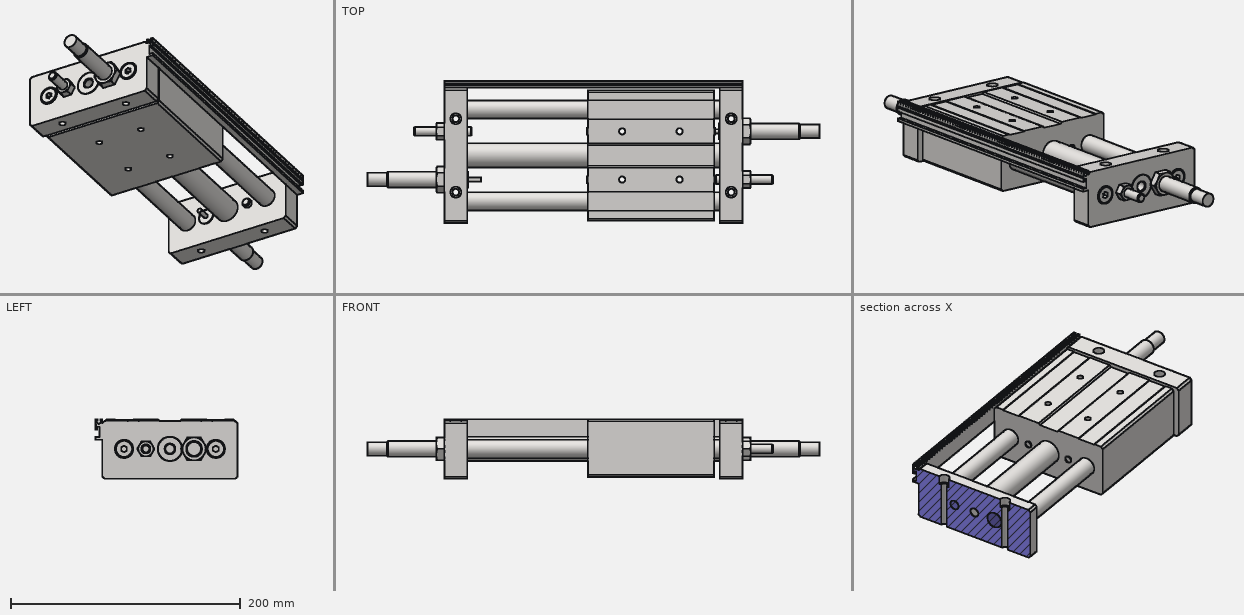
import cadquery as cq
import math

FRAME_LENGTH = 260.0
PLATE_THICKNESS = 20.0
PLATE_WIDTH = 118.0
PLATE_HEIGHT = 50.5
PLATE_CHAMFER = 2.0
AXIS_HEIGHT = 26.1
PLATE_OUTER_X = FRAME_LENGTH / 2
PLATE_INNER_X = PLATE_OUTER_X - PLATE_THICKNESS

CENTRE_ROD_DIAMETER = 21.4
GUIDE_ROD_DIAMETER = 16.0
GUIDE_ROD_Y = 40.0
CENTRE_ROD_CHAMFER = 0.3
GUIDE_ROD_CHAMFER = 1.0
GUIDE_SOCKET_ACROSS_FLATS = 5.0
GUIDE_SOCKET_DEPTH = 5.0
PORT_MOUTH_DIAMETER = 9.5
PORT_DIAMETER = 8.0
PORT_DEPTH = 10.0

MOUNT_HOLE_Y = 32.0
MOUNT_HOLE_DIAMETER = 5.7
MOUNT_BORE_DIAMETER = 9.5
MOUNT_BORE_DEPTH = 8.0

RAIL_WIDTH = 6.0
RAIL_TOP = 52.0
RAIL_BOTTOM = 34.0
RAIL_WEB = 2.5
RAIL_FLANGE = 2.5
TOP_SLOT_WALL = 1.0
TOP_SLOT_LIP = 1.2
TOP_SLOT_OUTER_LIP_WIDTH = 2.2
TOP_SLOT_INNER_LIP_WIDTH = 1.8
TOP_SLOT_SHOULDER_DEPTH = 2.5
TOP_SLOT_DEPTH = 4.2
SIDE_NOTCH_DEPTH = 0.8
SIDE_SLOT_ROOF_DEPTH = 6.8
SIDE_SLOT_LIP_HEIGHT = 2.4
SIDE_SLOT_LIP_WIDTH = 1.8

TABLE_LENGTH = 110.0
TABLE_CENTRE_X = 50.0
TABLE_WIDTH = 114.0
TABLE_BOTTOM = 1.5
TABLE_TOP = 52.0
TABLE_CHAMFER = 2.0
CENTRE_GROOVE_WIDTH = 21.0
CENTRE_GROOVE_DEPTH = 1.5
SIDE_GROOVE_INNER_Y = 31.5
SIDE_GROOVE_OUTER_Y = 48.0
SIDE_GROOVE_DEPTH = 0.5
TABLE_HOLE_DIAMETER = 5.2
TABLE_HOLE_SPACING = 50.0
PAD_DIAMETER = 6.0
PAD_HEIGHT = 1.0

STOP_Y = 21.0
PAD_FACE_X = TABLE_CENTRE_X + TABLE_LENGTH / 2 + PAD_HEIGHT
SHOCK_DIAMETER = 14.0
SHOCK_END_X = 197.0
SHOCK_STEP_X = 180.0
SHOCK_END_DIAMETER = 12.0
SHOCK_CHAMFER = 1.0
SHOCK_INNER_X = PLATE_INNER_X - 1.0
PISTON_DIAMETER = 4.0
LEFT_PISTON_TIP_X = 98.0
SHOCK_NUT_ACROSS_FLATS = 20.0
SCREW_DIAMETER = 8.0
SCREW_END_X = 156.5
SCREW_CHAMFER = 1.0
SCREW_NUT_ACROSS_FLATS = 13.0
NUT_THICKNESS = 7.0


def x_cylinder(diameter, x_start, x_end, y):
    """Cylinder parallel to X at the height of the rod axes."""
    base = cq.Workplane("YZ", origin=(x_start, y, AXIS_HEIGHT))
    return base.circle(diameter / 2).extrude(x_end - x_start)


def hexagon(across_flats, x_start, x_end, y, turn=0):
    """Hexagonal prism along X with flats facing up and down, turned by an angle in degrees."""
    base = cq.Workplane("YZ", origin=(x_start, y, AXIS_HEIGHT)).transformed(rotate=(0, 0, turn))
    return base.polygon(6, across_flats / math.cos(math.pi / 6)).extrude(x_end - x_start)


def outer_face(side):
    """Selector of the face that looks away from the middle of the unit."""
    return ">X" if side > 0 else "<X"


def end_plate(side):
    centre_x = side * (PLATE_OUTER_X - PLATE_THICKNESS / 2)
    plate = cq.Workplane("XY").box(PLATE_THICKNESS, PLATE_WIDTH, PLATE_HEIGHT, centered=(True, True, False))
    return plate.edges("|X").chamfer(PLATE_CHAMFER).translate((centre_x, 0, 0))


def rail():
    """Profile with a V-bottomed slot on top, a small V notch and a C-shaped slot on its outer side."""
    inner_y = PLATE_WIDTH / 2
    outer_y = inner_y + RAIL_WIDTH
    web_y = inner_y + RAIL_WEB
    flange_z = RAIL_BOTTOM + RAIL_FLANGE
    roof_z = RAIL_TOP - SIDE_SLOT_ROOF_DEPTH
    hook_y = outer_y - SIDE_SLOT_LIP_WIDTH
    hook_z = roof_z - SIDE_SLOT_LIP_HEIGHT
    lip_z = RAIL_TOP - TOP_SLOT_LIP
    shoulder_z = RAIL_TOP - TOP_SLOT_SHOULDER_DEPTH
    slot_floor_z = RAIL_TOP - TOP_SLOT_DEPTH
    outer_wall_y = outer_y - TOP_SLOT_WALL
    inner_wall_y = inner_y + TOP_SLOT_WALL
    outer_lip_y = outer_y - TOP_SLOT_OUTER_LIP_WIDTH
    inner_lip_y = inner_y + TOP_SLOT_INNER_LIP_WIDTH

    side_slot = [
        (inner_y, RAIL_BOTTOM), (outer_y, RAIL_BOTTOM), (outer_y, flange_z), (web_y, flange_z),
        (web_y, roof_z), (hook_y, roof_z), (hook_y, hook_z), (outer_y, hook_z),
    ]
    side_notch = [
        (outer_y, slot_floor_z - 2 * SIDE_NOTCH_DEPTH),
        (outer_y - SIDE_NOTCH_DEPTH, slot_floor_z - SIDE_NOTCH_DEPTH),
        (outer_y, slot_floor_z),
    ]
    top_slot = [
        (outer_y, RAIL_TOP), (outer_lip_y, RAIL_TOP), (outer_lip_y, lip_z), (outer_wall_y, lip_z),
        (outer_wall_y, shoulder_z), ((inner_y + outer_y) / 2, slot_floor_z), (inner_wall_y, shoulder_z),
        (inner_wall_y, lip_z), (inner_lip_y, lip_z), (inner_lip_y, RAIL_TOP), (inner_y, RAIL_TOP),
    ]
    base = cq.Workplane("YZ", origin=(-PLATE_OUTER_X, 0, 0))
    return base.polyline(side_slot + side_notch + top_slot).close().extrude(FRAME_LENGTH)


def rod_end_groove(diameter, size, side, y):
    """V groove left in the plate face around the chamfered end of a rod."""
    end_x = side * PLATE_OUTER_X
    slug = x_cylinder(diameter, end_x, end_x - side * size, y)
    cone = cq.Workplane("YZ", origin=(end_x - side * size, y, AXIS_HEIGHT)).circle(diameter / 2)
    cone = cone.workplane(offset=side * size).circle(diameter / 2 - size).loft()
    return slug.cut(cone)


def port(side):
    """Countersunk air port in the end of the centre rod."""
    end_x = side * PLATE_OUTER_X
    countersink = (PORT_MOUTH_DIAMETER - PORT_DIAMETER) / 2
    mouth = cq.Workplane("YZ", origin=(end_x, 0, AXIS_HEIGHT)).circle(PORT_MOUTH_DIAMETER / 2)
    mouth = mouth.workplane(offset=-side * countersink).circle(PORT_DIAMETER / 2).loft()
    return mouth.union(x_cylinder(PORT_DIAMETER, end_x, end_x - side * PORT_DEPTH, 0))


def build_frame():
    frame = end_plate(-1).union(end_plate(1)).union(rail())
    frame = frame.union(x_cylinder(CENTRE_ROD_DIAMETER, -PLATE_OUTER_X, PLATE_OUTER_X, 0))
    for y in (-GUIDE_ROD_Y, GUIDE_ROD_Y):
        frame = frame.union(x_cylinder(GUIDE_ROD_DIAMETER, -PLATE_OUTER_X, PLATE_OUTER_X, y))

    for side in (-1, 1):
        frame = frame.cut(rod_end_groove(CENTRE_ROD_DIAMETER, CENTRE_ROD_CHAMFER, side, 0))
        frame = frame.cut(port(side))
        for y in (-GUIDE_ROD_Y, GUIDE_ROD_Y):
            frame = frame.cut(rod_end_groove(GUIDE_ROD_DIAMETER, GUIDE_ROD_CHAMFER, side, y))
            socket_floor_x = side * (PLATE_OUTER_X - GUIDE_SOCKET_DEPTH)
            socket = hexagon(GUIDE_SOCKET_ACROSS_FLATS, socket_floor_x, side * PLATE_OUTER_X, y, turn=90)
            frame = frame.cut(socket)
        inner_x = side * PLATE_INNER_X
        outer_x = side * PLATE_OUTER_X
        frame = frame.cut(x_cylinder(SHOCK_DIAMETER, inner_x, outer_x, side * STOP_Y))
        frame = frame.cut(x_cylinder(SCREW_DIAMETER, inner_x, outer_x, -side * STOP_Y))

    plate_x = PLATE_OUTER_X - PLATE_THICKNESS / 2
    mounts = cq.Workplane("XY", origin=(0, 0, PLATE_HEIGHT))
    mounts = mounts.rarray(2 * plate_x, 2 * MOUNT_HOLE_Y, 2, 2)
    frame = frame.cut(mounts.circle(MOUNT_HOLE_DIAMETER / 2).extrude(-PLATE_HEIGHT))
    return frame.cut(mounts.circle(MOUNT_BORE_DIAMETER / 2).extrude(-MOUNT_BORE_DEPTH))


def build_table():
    table_height = TABLE_TOP - TABLE_BOTTOM
    start_x = TABLE_CENTRE_X - TABLE_LENGTH / 2
    end_x = TABLE_CENTRE_X + TABLE_LENGTH / 2
    table = cq.Workplane("XY").box(TABLE_LENGTH, TABLE_WIDTH, table_height, centered=(True, True, False))
    table = table.edges("|X").chamfer(TABLE_CHAMFER).translate((TABLE_CENTRE_X, 0, TABLE_BOTTOM))

    half_top = CENTRE_GROOVE_WIDTH / 2
    half_floor = half_top - CENTRE_GROOVE_DEPTH
    floor_z = TABLE_TOP - CENTRE_GROOVE_DEPTH
    groove = cq.Workplane("YZ", origin=(start_x, 0, 0)).polyline(
        [(-half_top, TABLE_TOP), (-half_floor, floor_z), (half_floor, floor_z), (half_top, TABLE_TOP)]
    )
    table = table.cut(groove.close().extrude(TABLE_LENGTH))
    side_groove_y = (SIDE_GROOVE_INNER_Y + SIDE_GROOVE_OUTER_Y) / 2
    side_grooves = cq.Workplane("XY", origin=(TABLE_CENTRE_X, 0, TABLE_TOP))
    side_grooves = side_grooves.pushPoints([(0, -side_groove_y), (0, side_groove_y)])
    side_grooves = side_grooves.rect(TABLE_LENGTH, SIDE_GROOVE_OUTER_Y - SIDE_GROOVE_INNER_Y)
    table = table.cut(side_grooves.extrude(-SIDE_GROOVE_DEPTH))

    table = table.cut(x_cylinder(CENTRE_ROD_DIAMETER, start_x, end_x, 0))
    for y in (-GUIDE_ROD_Y, GUIDE_ROD_Y):
        table = table.cut(x_cylinder(GUIDE_ROD_DIAMETER, start_x, end_x, y))
    holes = cq.Workplane("XY", origin=(TABLE_CENTRE_X, 0, TABLE_BOTTOM))
    holes = holes.rarray(TABLE_HOLE_SPACING, 2 * STOP_Y, 2, 2).circle(TABLE_HOLE_DIAMETER / 2)
    table = table.cut(holes.extrude(table_height))

    for y in (-STOP_Y, STOP_Y):
        table = table.union(x_cylinder(PAD_DIAMETER, start_x - PAD_HEIGHT, start_x, y))
        table = table.union(x_cylinder(PAD_DIAMETER, end_x, end_x + PAD_HEIGHT, y))
    return table


def nut(across_flats, side, y):
    """Hexagon nut against the plate, its outer corners bevelled at 30 degrees."""
    seat_x = side * PLATE_OUTER_X
    outer_x = seat_x + side * NUT_THICKNESS
    prism = hexagon(across_flats, seat_x, outer_x, y)
    across_corners = across_flats / math.cos(math.pi / 6)
    bevel_width = (across_corners - across_flats) / 2
    envelope = x_cylinder(across_corners, seat_x, outer_x, y)
    outer_edge = envelope.faces(outer_face(side)).edges()
    return prism.intersect(outer_edge.chamfer(bevel_width * math.tan(math.pi / 6), bevel_width))


def build_shock(side, piston_tip_x):
    y = side * STOP_Y
    body = x_cylinder(SHOCK_DIAMETER, side * SHOCK_INNER_X, side * SHOCK_STEP_X, y)
    body = body.faces(outer_face(side)).chamfer(SHOCK_CHAMFER)
    body = body.union(x_cylinder(SHOCK_END_DIAMETER, side * SHOCK_STEP_X, side * SHOCK_END_X, y))
    body = body.union(x_cylinder(PISTON_DIAMETER, side * piston_tip_x, side * SHOCK_INNER_X, y))
    return body.union(nut(SHOCK_NUT_ACROSS_FLATS, side, y))


def build_stop_screw(side):
    y = -side * STOP_Y
    screw = x_cylinder(SCREW_DIAMETER, side * PAD_FACE_X, side * SCREW_END_X, y)
    screw = screw.faces("<X or >X").chamfer(SCREW_CHAMFER)
    return screw.union(nut(SCREW_NUT_ACROSS_FLATS, side, y))


frame = build_frame()
table = build_table()
shocks = [build_shock(-1, LEFT_PISTON_TIP_X), build_shock(1, PAD_FACE_X)]
stop_screws = [build_stop_screw(side) for side in (-1, 1)]

result = cq.Compound.makeCompound([body.val() for body in [frame, table, *shocks, *stop_screws]])